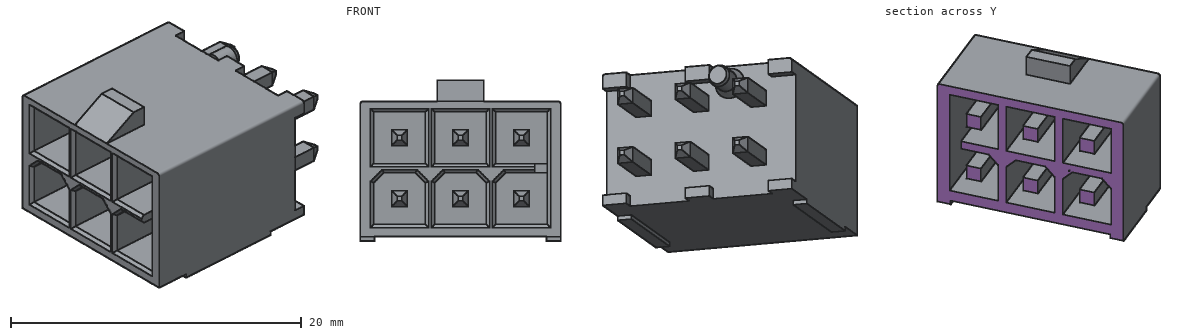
import cadquery as cq
import math

overlap = 0.09

body_width = 13.8
body_height = 9.32
body_depth = 12.79
top_edge_radius = 0.2

pitch = 4.2
column_xs = (-pitch, 0.0, pitch)
lower_row_z = 2.62
upper_row_z = lower_row_z + pitch

cavity_size = 3.55
cavity_depth = 10.01
corner_cut = 0.69
lead_in = 0.22
keyway_width = 0.85
keyway_depth = 7.77

pin_size = 1.09
pin_front = 2.93
pin_back = 17.26
pin_tip_size = 0.33
pin_tip_length = 0.69

standoff_back = 13.62
corner_standoff_width = 1.73
middle_standoff_width = 1.76
upper_standoff_height = 1.02
lower_standoff_height = 0.72

peg_x = -pitch / 2
peg_z = 8.1
peg_diameter = 1.5
peg_root_diameter = 2.1
peg_tip_diameter = 1.28
peg_root_end = 13.51
peg_tip_start = 15.02
peg_end = 15.31

latch_width = 3.23
latch_height = 1.45
latch_flat_start = 2.54
latch_back = 3.5

rail_width = 1.0
rail_height = 0.3
rail_start = 2.54
rail_end = 10.5


def block(x_range, y_range, z_range):
    """Box spanning the given (low, high) ranges."""
    low = (x_range[0], y_range[0], z_range[0])
    size = (x_range[1] - x_range[0], y_range[1] - y_range[0], z_range[1] - z_range[0])
    return cq.Workplane("XY", origin=low).box(*size, centered=False)


def make_housing():
    half_width = body_width / 2
    body = block((-half_width, half_width), (0, body_depth), (0, body_height))
    ends = (
        (-half_width, -half_width + corner_standoff_width),
        (-middle_standoff_width / 2, middle_standoff_width / 2),
        (half_width - corner_standoff_width, half_width),
    )
    y_range = (body_depth - overlap, standoff_back)
    for x_range in ends:
        body = body.union(block(x_range, y_range, (0, lower_standoff_height)))
        body = body.union(block(x_range, y_range, (body_height - upper_standoff_height, body_height)))
    body = body.clean()
    return body.edges("|Y and >Z").edges("<X or >X").fillet(top_edge_radius)


def cavity_outline(grow, left_cut, right_cut):
    """Corners of the cavity section, moved outwards by grow, with optional bevels at the top."""
    half = cavity_size / 2 + grow
    bevel = corner_cut + grow * (2 - math.sqrt(2))
    outline = [(-half, -half), (half, -half)]
    if right_cut:
        outline += [(half, half - bevel), (half - bevel, half)]
    else:
        outline += [(half, half)]
    if left_cut:
        outline += [(-half + bevel, half), (-half, half - bevel)]
    else:
        outline += [(-half, half)]
    return outline


def make_cavity(x, z, left_cut, right_cut):
    """Cavity centred on (x, z) with a flared mouth."""
    throat_outline = cavity_outline(0, left_cut, right_cut)
    mouth_outline = cavity_outline(lead_in, left_cut, right_cut)
    throat = cq.Workplane("XZ", origin=(x, 0, z)).polyline(throat_outline).close().extrude(-cavity_depth)
    mouth = (
        cq.Workplane("XZ", origin=(x, 0, z))
        .polyline(mouth_outline).close()
        .workplane(offset=-lead_in)
        .polyline(throat_outline).close()
        .loft(ruled=True)
    )
    return throat.union(mouth)


def make_keyway():
    """Gap between the two cavities of the last column, flared only along its outer side."""
    right = pitch + cavity_size / 2
    left = right - keyway_width
    bottom = lower_row_z + cavity_size / 2
    top = upper_row_z - cavity_size / 2
    outline = [
        (left, 0),
        (right + lead_in, 0),
        (right, lead_in),
        (right, keyway_depth),
        (left, keyway_depth),
    ]
    return cq.Workplane("XY", origin=(0, 0, bottom)).polyline(outline).close().extrude(top - bottom)


def make_pin(x, z):
    """Square pin with a blunt pyramid at each end."""
    shank_start = pin_front + pin_tip_length
    shank_end = pin_back - pin_tip_length
    half = pin_size / 2
    pin = block((x - half, x + half), (shank_start, shank_end), (z - half, z + half))
    for base, direction in ((shank_start, 1), (shank_end, -1)):
        tip = (
            cq.Workplane("XZ", origin=(x, base, z))
            .rect(pin_size, pin_size)
            .workplane(offset=direction * pin_tip_length)
            .rect(pin_tip_size, pin_tip_size)
            .loft()
        )
        pin = pin.union(tip)
    return pin


def make_peg():
    profile = [
        (0, body_depth - overlap),
        (peg_root_diameter / 2, body_depth - overlap),
        (peg_root_diameter / 2, body_depth),
        (peg_diameter / 2, peg_root_end),
        (peg_diameter / 2, peg_tip_start),
        (peg_tip_diameter / 2, peg_end),
        (0, peg_end),
    ]
    peg = cq.Workplane("XY").polyline(profile).close().revolve(360, (0, 0), (0, 1))
    return peg.translate((peg_x, 0, peg_z))


def make_latch():
    top = body_height + latch_height
    profile = [
        (0, body_height - overlap),
        (0, body_height),
        (latch_flat_start, top),
        (latch_back, top),
        (latch_back, body_height - overlap),
    ]
    return cq.Workplane("YZ").polyline(profile).close().extrude(latch_width / 2, both=True)


def make_rail(side):
    outer = side * body_width / 2
    inner = outer - side * rail_width
    return block(sorted((outer, inner)), (rail_start, rail_end), (-rail_height, overlap))


result = make_housing().union(make_latch()).union(make_peg())
for side in (-1, 1):
    result = result.union(make_rail(side))

for x in column_xs:
    is_last = x == column_xs[-1]
    result = result.cut(make_cavity(x, upper_row_z, left_cut=False, right_cut=False))
    result = result.cut(make_cavity(x, lower_row_z, left_cut=True, right_cut=not is_last))
result = result.cut(make_keyway())

for x in column_xs:
    for z in (lower_row_z, upper_row_z):
        result = result.union(make_pin(x, z))